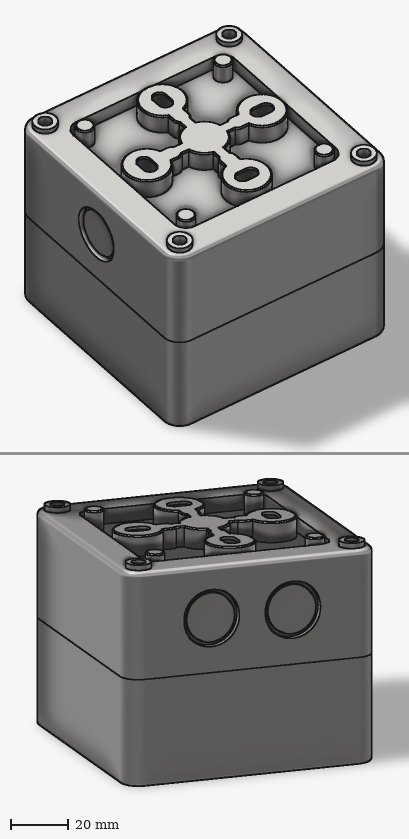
import cadquery as cq
side = 94.0
corner_radius = 7.0
lid_height = 39.0
housing_height = 39.0
projection = 2.0
housing_top = lid_height + housing_height
overall_top = housing_top + projection

housing_edge_radius = 2.0
lid_edge_radius = 1.0
raised_edge_chamfer = 0.5

recess_side = 70.0
recess_corner_radius = 5.0
recess_depth = 5.5
recess_floor = housing_top - recess_depth
raised_height = overall_top - recess_floor

post_diameter = 7.0
post_offset = 30.0

pad_diameter = 18.0
hub_diameter = pad_diameter
pad_offset = 25.0
neck_inner_width = 5.0
neck_outer_width = 7.0
neck_nose_offset = 14.0

slot_length = 9.0
slot_width = 5.5
slot_lip = 1.0
pad_bore_diameter = 16.0

knockout_diameter = 20.8
knockout_disc_diameter = 18.0
knockout_depth = 2.5
knockout_disc_sink = 1.0
knockout_height = 58.8
knockout_spacing = 30.5

bushing_diameter = 9.0
bushing_bore = 5.0
bushing_offset = 39.95


def corner_points(offset):
    """Four points at equal distance from both centre planes."""
    return [(sx * offset, sy * offset) for sx in (-1, 1) for sy in (-1, 1)]


def rounded_block(width, radius, bottom, height):
    """Square block with rounded vertical edges."""
    block = cq.Workplane("XY").workplane(offset=bottom).rect(width, width).extrude(height)
    return block.edges("|Z").fillet(radius)


def make_neck():
    """Neck along +X: a narrow bar from the hub, widened by a round-nosed bar near the pad."""
    floor = cq.Workplane("XY").workplane(offset=recess_floor)
    narrow = floor.center(pad_offset / 2, 0).rect(pad_offset, neck_inner_width).extrude(raised_height)
    wide_length = pad_offset - neck_nose_offset + neck_outer_width
    wide_middle = (pad_offset + neck_nose_offset) / 2
    floor = cq.Workplane("XY").workplane(offset=recess_floor)
    wide = floor.center(wide_middle, 0).slot2D(wide_length, neck_outer_width).extrude(raised_height)
    return narrow.union(wide)


def make_mounting_cross():
    """Hub with four pads, chamfered all round its top."""
    floor = cq.Workplane("XY").workplane(offset=recess_floor)
    cross = floor.circle(hub_diameter / 2).extrude(raised_height)
    pad = floor.center(pad_offset, 0).circle(pad_diameter / 2).extrude(raised_height)
    arm = make_neck().union(pad)
    for turn in range(4):
        cross = cross.union(arm.rotate((0, 0, 0), (0, 0, 1), 90 * turn))
    return cross.faces(">Z").edges().chamfer(raised_edge_chamfer)


def make_slots():
    """Cutters for the slots: lengthwise along X in the -X and -Y pads, along Y in the others."""
    top = cq.Workplane("XY").workplane(offset=overall_top)
    along_x = top.pushPoints([(-pad_offset, 0), (0, -pad_offset)])
    along_y = top.pushPoints([(pad_offset, 0), (0, pad_offset)])
    return (
        along_x.slot2D(slot_length, slot_width, 0).extrude(-slot_lip)
        .union(along_y.slot2D(slot_length, slot_width, 90).extrude(-slot_lip))
    )


def make_pad_bores():
    """Cutters for the round bores under the four slots."""
    return (
        cq.Workplane("XY").workplane(offset=lid_height)
        .polarArray(pad_offset, 0, 360, 4)
        .circle(pad_bore_diameter / 2)
        .extrude(overall_top - slot_lip - lid_height)
    )


def make_posts():
    """Four chamfered posts near the corners of the recess."""
    return (
        cq.Workplane("XY").workplane(offset=recess_floor)
        .pushPoints(corner_points(post_offset))
        .circle(post_diameter / 2)
        .extrude(raised_height)
        .faces(">Z").edges().chamfer(raised_edge_chamfer)
    )


def make_knockout(across):
    """Cutter in the -Y wall, shifted along X from the middle of the wall."""
    wall = cq.Workplane("XZ", origin=(across, -side / 2, knockout_height))
    mouth = wall.circle(knockout_diameter / 2).extrude(-knockout_disc_sink)
    groove = (
        wall.circle(knockout_diameter / 2)
        .circle(knockout_disc_diameter / 2)
        .extrude(-knockout_depth)
    )
    return mouth.union(groove)


def make_housing():
    """Upper box with its recess, mounting cross, posts, knockouts and bushing holes."""
    housing = rounded_block(side, corner_radius, lid_height, housing_height)
    housing = housing.faces(">Z").edges().fillet(housing_edge_radius)
    housing = housing.cut(rounded_block(recess_side, recess_corner_radius, recess_floor, recess_depth))
    housing = housing.union(make_mounting_cross()).union(make_posts())
    housing = housing.cut(make_slots()).cut(make_pad_bores())

    housing = housing.cut(make_knockout(0))
    for across in (-knockout_spacing / 2, knockout_spacing / 2):
        housing = housing.cut(make_knockout(across).rotate((0, 0, 0), (0, 0, 1), -90))

    bushing_holes = (
        cq.Workplane("XY").workplane(offset=lid_height)
        .pushPoints(corner_points(bushing_offset))
        .circle(bushing_diameter / 2)
        .extrude(housing_height)
    )
    return housing.cut(bushing_holes)


def make_lid():
    """Plain lower box, rounded along its bottom edge."""
    lid = rounded_block(side, corner_radius, 0, lid_height)
    return lid.faces("<Z").edges().fillet(lid_edge_radius)


def make_bushing(x, y):
    """Tube through the housing, resting on the lid."""
    return (
        cq.Workplane("XY", origin=(x, y, lid_height))
        .circle(bushing_diameter / 2)
        .circle(bushing_bore / 2)
        .extrude(housing_height + projection)
    )


housing = make_housing()
lid = make_lid()
bushings = [make_bushing(x, y) for x, y in corner_points(bushing_offset)]

result = cq.Compound.makeCompound([housing.val(), lid.val(), *[bushing.val() for bushing in bushings]])